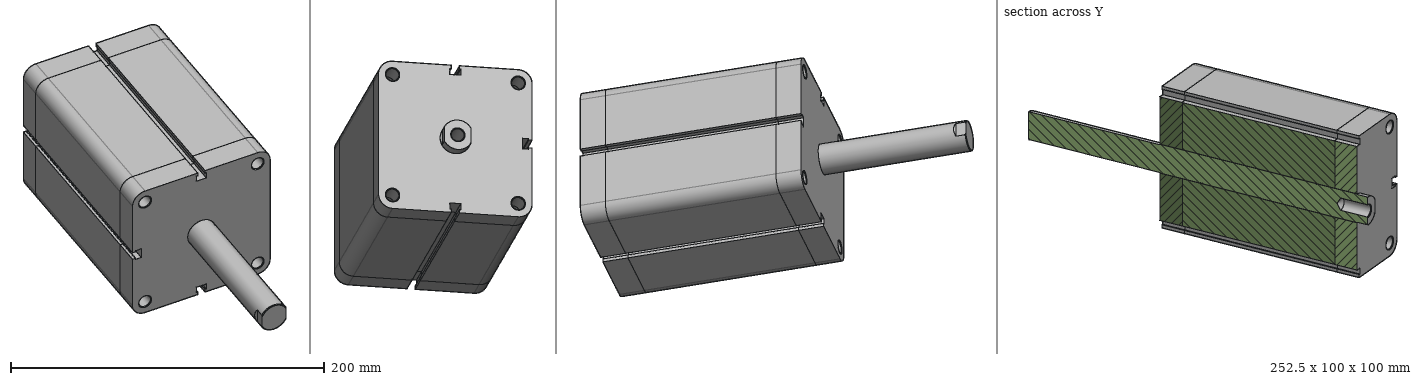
import cadquery as cq
import math

ROD_LENGTH = 252.5
ROD_DIAMETER = 20.0
ROD_TIP_CHAMFER = 0.5
ROD_FLAT_WIDTH = 17.5
FLAT_LENGTH = 6.5
ROD_HOLE_DEPTH = 20.2
DRILL_POINT_ANGLE = 118.0

BODY_SIZE = 100.0
CORNER_RADIUS = 9.0
CAP_LENGTH = 16.7
TUBE_LENGTH = 113.4
REAR_STICKOUT = 8.0

BOLT_SPACING = 81.8
HOLE_DIAMETER = 8.3
HOLE_CHAMFER = 0.5

SLOT_NECK_WIDTH = 5.3
SLOT_NECK_DEPTH = 2.3
SLOT_INNER_WIDTH = 7.0
SLOT_DEPTH = 6.3
SLOT_ANGLES = (0, 90, 180)

REAR_CAP_X = REAR_STICKOUT
TUBE_X = REAR_CAP_X + CAP_LENGTH
FRONT_CAP_X = TUBE_X + TUBE_LENGTH


def sensor_slot(start_x, length):
    """T-shaped groove along the middle of the top face."""
    top = BODY_SIZE / 2
    floor = top - SLOT_DEPTH
    profile = cq.Workplane("YZ", origin=(start_x, 0, 0))
    inner_height = SLOT_DEPTH - SLOT_NECK_DEPTH
    inner = profile.center(0, floor + inner_height / 2).rect(SLOT_INNER_WIDTH, inner_height).extrude(length)
    neck = profile.center(0, top - SLOT_DEPTH / 2).rect(SLOT_NECK_WIDTH, SLOT_DEPTH).extrude(length)
    return inner.union(neck)


def profile_block(start_x, length):
    """Rounded square block with the rod bore, the bolt holes and the slots."""
    plane = cq.Workplane("YZ", origin=(start_x, 0, 0))
    block = plane.rect(BODY_SIZE, BODY_SIZE).extrude(length).edges("|X").fillet(CORNER_RADIUS)
    block = block.cut(plane.circle(ROD_DIAMETER / 2).extrude(length))
    bolt_centres = plane.rect(BOLT_SPACING, BOLT_SPACING, forConstruction=True).vertices()
    block = block.cut(bolt_centres.circle(HOLE_DIAMETER / 2).extrude(length))
    slot = sensor_slot(start_x, length)
    for angle in SLOT_ANGLES:
        block = block.cut(slot.rotate((0, 0, 0), (1, 0, 0), angle))
    return block


def end_cap(start_x, outer_face):
    """Profile block whose bolt holes are chamfered on the outer face."""
    cap = profile_block(start_x, CAP_LENGTH)
    hole_rims = cap.faces(outer_face).edges(cq.selectors.RadiusNthSelector(0))
    return hole_rims.chamfer(HOLE_CHAMFER)


def flat_cutter(end_x, inward):
    """Material beyond the +Y flat at one rod end; the flat runs out at 45 degrees."""
    flat_y = ROD_FLAT_WIDTH / 2
    outer_y = ROD_DIAMETER / 2
    flat_end_x = end_x + inward * FLAT_LENGTH
    runout_x = flat_end_x + inward * (outer_y - flat_y)
    outline = [(end_x, flat_y), (flat_end_x, flat_y), (runout_x, outer_y), (end_x, outer_y)]
    return cq.Workplane("XY").polyline(outline).close().extrude(ROD_DIAMETER / 2, both=True)


def rod_hole():
    """Blind drilled hole with a chamfered mouth and a conical bottom in the rear end of the rod."""
    radius = HOLE_DIAMETER / 2
    point_length = radius / math.tan(math.radians(DRILL_POINT_ANGLE / 2))
    outline = [
        (0, 0),
        (0, radius + HOLE_CHAMFER),
        (HOLE_CHAMFER, radius),
        (ROD_HOLE_DEPTH, radius),
        (ROD_HOLE_DEPTH + point_length, 0),
    ]
    return cq.Workplane("XY").polyline(outline).close().revolve(360, (0, 0, 0), (1, 0, 0))


def piston_rod():
    """Through rod with wrench flats at both ends and a blind hole at the rear."""
    rod = cq.Workplane("YZ").circle(ROD_DIAMETER / 2).extrude(ROD_LENGTH)
    rod = rod.faces(">X").chamfer(ROD_TIP_CHAMFER)
    for cutter in (flat_cutter(0, 1), flat_cutter(ROD_LENGTH, -1)):
        rod = rod.cut(cutter).cut(cutter.mirror("XZ"))
    return rod.cut(rod_hole())


rear_cap = end_cap(REAR_CAP_X, "<X")
tube = profile_block(TUBE_X, TUBE_LENGTH)
front_cap = end_cap(FRONT_CAP_X, ">X")
rod = piston_rod()

result = cq.Compound.makeCompound([rear_cap.val(), tube.val(), front_cap.val(), rod.val()])